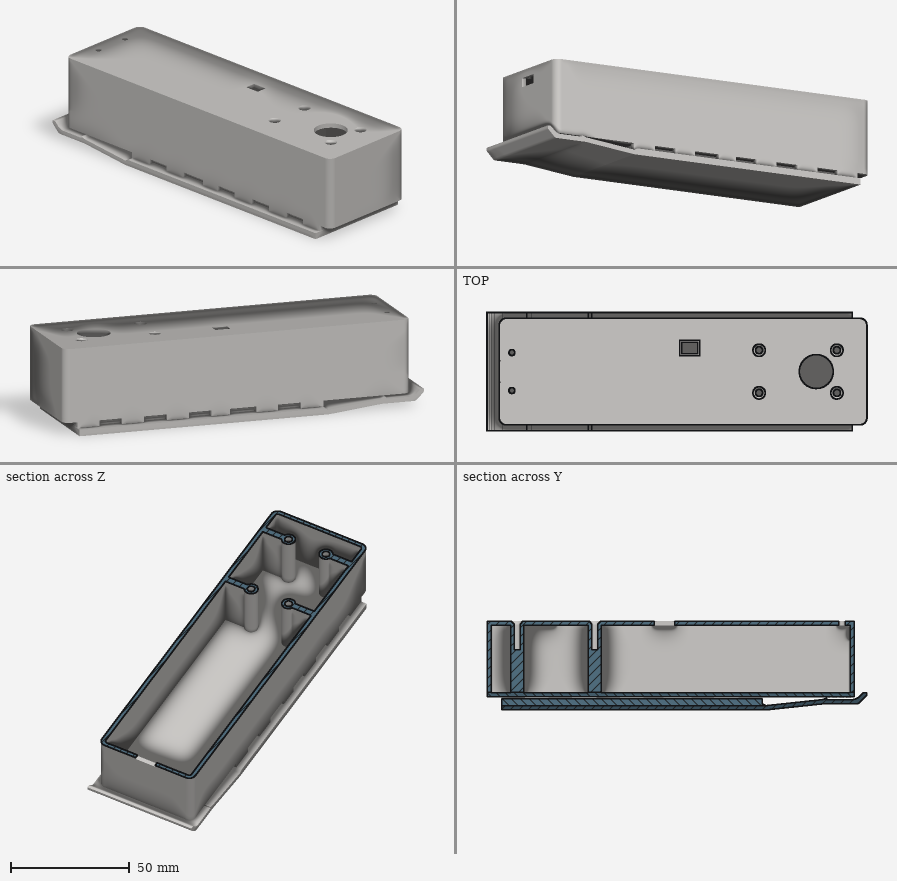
import cadquery as cq
import math

total_length = 160.19
total_height = 37.6
mount_width = 50.0

box_length = 155.0
box_width = 45.0
box_corner_radius = 3.0
box_end = total_length
box_start = box_end - box_length
box_middle = (box_start + box_end) / 2
lid_bottom = 5.5
lid_thickness = 2.0
cover_bottom = lid_bottom + lid_thickness
cover_height = total_height - cover_bottom
wall = 2.0

screw_hole_diameter = 3.0
screw_head_diameter = 5.2
screw_head_depth = 1.4
screw_hole_depth = 12.0
screw_near_end = 12.7
screw_spacing_x = 32.8
screw_spacing_y = 18.0
screw_xs = (box_end - screw_near_end - screw_spacing_x, box_end - screw_near_end)
screw_ys = (-screw_spacing_y / 2, screw_spacing_y / 2)
pillar_diameter = 6.0
rib_thickness = 3.0
sensor_hole_diameter = 14.3
sensor_hole_x = box_end - 21.4
button_hole_diameter = 2.5
button_hole_x = box_start + 5.3
button_hole_spacing = 16.0
window_length = 6.8
window_width = 4.8
window_x = 85.4
window_y = 9.9
window_relief_margin = 0.8
window_skin = 0.2
socket_width = 9.2
socket_height = 3.9
socket_z = total_height - 5.3

rail_start = 44.0
rail_end = 154.0
rail_bottom = 3.0
rail_wall = 2.5
rail_lip_width = 2.5
rail_lip_thickness = 0.5
notch_spans = ((54.2, 64.4), (73.9, 85.8), (94.2, 104.2), (114.0, 124.4), (134.2, 144.2))

stud_diameter = 2.0
stud_height = 0.3
stud_pitch = 2.9
stud_count = 4
first_stud_x = 7.8

clip_thickness = 2.0
lever_bottom = 2.55
lever_top = lever_bottom + clip_thickness
lip_angle = 45.0
lip_tip_z = 7.5
lip_lower_corner_z = 6.2
lip_upper_corner_x = 1.5
lip_edge_radius = 1.2
lip_outer_bend_radius = 2.0
lip_inner_bend_radius = 4.8
tooth_start = 16.8
tooth_end = 18.7
tooth_height = 0.6
slope_end = 42.6

slide_thickness = 0.75
slide_top = clip_thickness + slide_thickness
slide_bevel_length = 1.5
flange_bottom = 4.0
flange_top = 5.0
rail_clearance = 0.5


def box_from(x_span, y_span, z_span):
    """Axis-aligned block between the given limits."""
    size = [high - low for low, high in (x_span, y_span, z_span)]
    corner = (x_span[0], y_span[0], z_span[0])
    return cq.Workplane("XY").box(*size, centered=False).translate(corner)


def rounded_block(bottom, height, inset):
    """Block with the plan outline of the box, moved inward by the inset."""
    return (
        cq.Workplane("XY", origin=(box_middle, 0, bottom))
        .rect(box_length - 2 * inset, box_width - 2 * inset)
        .extrude(height)
        .edges("|Z")
        .fillet(box_corner_radius - inset)
    )


def make_screw_pillar(x, y):
    """Pillar under a screw hole, tied to the nearest long wall by a rib."""
    pillar_height = cover_height - wall / 2
    pillar = (
        cq.Workplane("XY", origin=(x, y, cover_bottom))
        .circle(pillar_diameter / 2)
        .extrude(pillar_height)
    )
    wall_y = math.copysign(box_width / 2 - wall / 2, y)
    rib = box_from(
        (x - rib_thickness / 2, x + rib_thickness / 2),
        sorted((y, wall_y)),
        (cover_bottom, cover_bottom + pillar_height),
    )
    return pillar.union(rib)


def make_cover():
    cover = rounded_block(cover_bottom, cover_height, 0)
    cover = cover.cut(rounded_block(cover_bottom, cover_height - wall, wall))

    screw_points = [(x, y) for x in screw_xs for y in screw_ys]
    for x, y in screw_points:
        cover = cover.union(make_screw_pillar(x, y))

    top = cq.Workplane("XY", origin=(0, 0, total_height))
    screw_holes = top.pushPoints(screw_points).circle(screw_hole_diameter / 2).extrude(-screw_hole_depth)
    cover = cover.cut(screw_holes)
    for x, y in screw_points:
        countersink = cq.Solid.makeCone(
            screw_hole_diameter / 2,
            screw_head_diameter / 2,
            screw_head_depth,
            pnt=cq.Vector(x, y, total_height - screw_head_depth),
        )
        cover = cover.cut(cq.Workplane(countersink))

    cover = cover.cut(top.center(sensor_hole_x, 0).circle(sensor_hole_diameter / 2).extrude(-wall))

    button_points = [(button_hole_x, side * button_hole_spacing / 2) for side in (-1, 1)]
    cover = cover.cut(top.pushPoints(button_points).circle(button_hole_diameter / 2).extrude(-wall))

    window = top.center(window_x, window_y)
    relief = (
        window.workplane(offset=-wall)
        .rect(window_length + 2 * window_relief_margin, window_width + 2 * window_relief_margin)
        .extrude(wall - window_skin)
    )
    cover = cover.cut(window.rect(window_length, window_width).extrude(-wall)).cut(relief)

    socket = box_from(
        (box_start, box_start + wall),
        (-socket_width / 2, socket_width / 2),
        (socket_z - socket_height / 2, socket_z + socket_height / 2),
    )
    return cover.cut(socket)


def make_rail(side):
    """Notched side wall with an inward lip; side is -1 or 1 along Y."""
    outer = box_width / 2
    inner = outer - rail_wall
    rail = box_from((rail_start, rail_end), (inner, outer), (rail_bottom, lid_bottom))
    for span in notch_spans:
        rail = rail.cut(box_from(span, (inner, outer), (rail_bottom, lid_bottom)))
    lip = box_from(
        (rail_start, rail_end),
        (inner - rail_lip_width, inner),
        (rail_bottom, rail_bottom + rail_lip_thickness),
    )
    rail = rail.union(lip)
    return rail if side > 0 else rail.mirror("XZ")


def make_lid():
    lid = rounded_block(lid_bottom, lid_thickness, 0)
    for side in (-1, 1):
        lid = lid.union(make_rail(side))
    stud_points = [(first_stud_x + i * stud_pitch, 0) for i in range(stud_count)]
    studs = (
        cq.Workplane("XY", origin=(0, 0, lid_bottom))
        .pushPoints(stud_points)
        .circle(stud_diameter / 2)
        .extrude(-stud_height)
    )
    return lid.union(studs)


def make_spring_clip():
    """Bent strip: flat base, sloped arm, level lever with a tooth, and an upturned lip."""
    slant = math.tan(math.radians(lip_angle))
    lower_bend_x = (lip_lower_corner_z - lever_bottom) / slant
    upper_bend_x = lip_upper_corner_x + (lip_tip_z - lever_top) / slant
    clip = (
        cq.Workplane("XZ", origin=(0, mount_width / 2, 0))
        .moveTo(0, lip_lower_corner_z)
        .lineTo(0, lip_tip_z)
        .lineTo(lip_upper_corner_x, lip_tip_z)
        .lineTo(upper_bend_x, lever_top)
        .lineTo(tooth_start, lever_top)
        .lineTo(tooth_start, lever_top + tooth_height)
        .lineTo(tooth_end, lever_top)
        .lineTo(slope_end, clip_thickness)
        .lineTo(rail_end, clip_thickness)
        .lineTo(rail_end, 0)
        .lineTo(slope_end, 0)
        .lineTo(tooth_end, lever_bottom)
        .lineTo(lower_bend_x, lever_bottom)
        .close()
        .extrude(mount_width)
    )
    rounded_corners = (
        (0, lip_lower_corner_z, lip_edge_radius),
        (lip_upper_corner_x, lip_tip_z, lip_edge_radius),
        (lower_bend_x, lever_bottom, lip_outer_bend_radius),
        (upper_bend_x, lever_top, lip_inner_bend_radius),
    )
    for x, z, radius in rounded_corners:
        clip = clip.edges(cq.NearestToPointSelector((x, 0, z))).fillet(radius)
    return clip


def make_slide_plate():
    """Thin plate with a bevelled front edge and a T-shaped tongue that runs between the lid rails."""
    plate = (
        cq.Workplane("XZ", origin=(0, mount_width / 2, 0))
        .moveTo(slope_end, clip_thickness)
        .lineTo(slope_end + slide_bevel_length, slide_top)
        .lineTo(rail_end, slide_top)
        .lineTo(rail_end, clip_thickness)
        .close()
        .extrude(mount_width)
    )
    flange_half = box_width / 2 - rail_wall - rail_clearance
    web_half = flange_half - rail_lip_width
    tongue_span = (slope_end + slide_bevel_length, rail_end)
    web = box_from(tongue_span, (-web_half, web_half), (slide_top, flange_bottom))
    flange = box_from(tongue_span, (-flange_half, flange_half), (flange_bottom, flange_top))
    return plate.union(web).union(flange)


cover = make_cover()
lid = make_lid()
spring_clip = make_spring_clip()
slide_plate = make_slide_plate()

result = cq.Compound.makeCompound([cover.val(), lid.val(), spring_clip.val(), slide_plate.val()])